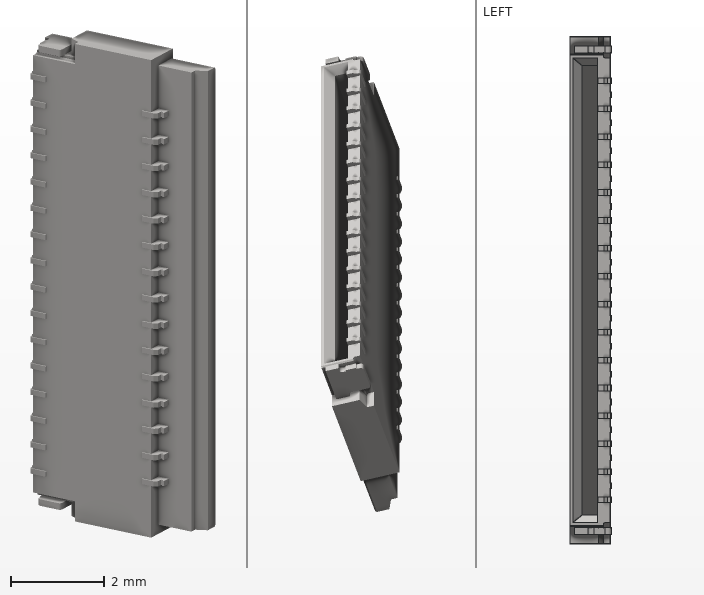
import cadquery as cq

body_length = 3.0
body_depth = 0.87
body_half_height = 5.45
shroud_half_height = 5.08
shroud_length = 0.82
shroud_corner_chamfer = 0.03

relief_length = 1.06
relief_half_height = 4.99
relief_ramp_half_height = 5.02
relief_ramp_depth = 0.115
relief_depth = 0.15
wing_slope_depth = 0.25

slot_half_height = 4.99
slot_front = 0.27
slot_back = 0.805
slot_depth = 2.0
bevel_back = 0.195
bevel_end = 0.16
bevel_depth = 0.17

actuator_end = 4.09
actuator_step = 3.84
actuator_half_height = 5.24
actuator_front = 0.29
actuator_back = body_depth
actuator_end_chamfer = 0.045
nose_inner_front = 0.44
nose_tip_front = 0.55

contact_pitch = 0.6
contact_width = 0.12
contact_embed = 0.1
solder_drop = 0.03
front_contact_count = 16
rear_contact_count = 15
front_foot_end = 0.34
front_contact_reach = 0.11
front_contact_top = 0.265
front_contact_knee = 0.13
front_contact_ankle = 0.06
front_contact_shin = 0.07
rear_foot_start = 2.78
rear_foot_end = 3.08
rear_shin = 3.16
rear_lip = 3.21
rear_lip_tip = 0.11
rear_contact_reach = 3.26
rear_step = 0.15

plate_bottom_z = 5.10
plate_top_z = 5.25
plate_back = 0.77
plate_hook = 0.48
plate_bite = 0.13
plate_neck = 0.10
plate_bite_front = 0.35
plate_foot_shoulder = 0.115
plate_leg_end = 0.72
plate_leg_top = 0.42
plate_leg_bevel = 0.04
plate_heel_radius = 0.07
plate_toe_radius = 0.06
plate_bite_radius = 0.05


def prism(points, z_low, z_high):
    """Extrude an XY outline between two Z heights."""
    return cq.Workplane("XY").workplane(offset=z_low).polyline(points).close().extrude(z_high - z_low)


def block(x_range, y_range, z_range):
    """Box given by its limits along each axis."""
    size = [high - low for low, high in (x_range, y_range, z_range)]
    return cq.Workplane("XY").box(*size, centered=False).translate((x_range[0], y_range[0], z_range[0]))


def both_ends(shape):
    """The shape together with its mirror image about Z = 0."""
    return shape.union(shape.mirror("XY"))


def make_housing():
    wings = prism(
        [
            (shroud_length, body_depth),
            (shroud_length, wing_slope_depth),
            (relief_length, relief_depth),
            (relief_length, 0),
            (body_length, 0),
            (body_length, body_depth),
        ],
        -body_half_height,
        body_half_height,
    )
    shroud = (
        cq.Workplane("YZ")
        .polyline(
            [
                (body_depth, -shroud_half_height),
                (relief_depth, -shroud_half_height),
                (relief_depth, -relief_ramp_half_height),
                (relief_ramp_depth, -relief_half_height),
                (0, -relief_half_height),
                (0, relief_half_height),
                (relief_ramp_depth, relief_half_height),
                (relief_depth, relief_ramp_half_height),
                (relief_depth, shroud_half_height),
                (body_depth, shroud_half_height),
            ]
        )
        .close()
        .extrude(relief_length)
    )
    shroud = shroud.faces(">Z or <Z").edges("<X").chamfer(shroud_corner_chamfer)
    return wings.union(shroud)


def make_slot():
    throat_half_height = slot_half_height - bevel_end
    throat_back = slot_back - bevel_back
    throat = block(
        (0, slot_depth), (slot_front, throat_back), (-throat_half_height, throat_half_height)
    )
    mouth_width = slot_back - slot_front
    throat_width = throat_back - slot_front
    lead_in = (
        cq.Workplane("YZ")
        .center(slot_front + mouth_width / 2, 0)
        .rect(mouth_width, 2 * slot_half_height)
        .workplane(offset=bevel_depth)
        .center((throat_width - mouth_width) / 2, 0)
        .rect(throat_width, 2 * throat_half_height)
        .loft(ruled=True)
    )
    return throat.union(lead_in)


def make_actuator():
    bar = prism(
        [
            (body_length, actuator_back),
            (body_length, actuator_front),
            (actuator_step, actuator_front),
            (actuator_step, nose_inner_front),
            (actuator_end, nose_tip_front),
            (actuator_end, actuator_back),
        ],
        -actuator_half_height,
        actuator_half_height,
    )
    return bar.faces(">Z or <Z").edges(">Y").chamfer(actuator_end_chamfer)


def make_front_contact():
    return prism(
        [
            (contact_embed, front_contact_top),
            (-front_contact_reach, front_contact_top),
            (-front_contact_reach, front_contact_knee),
            (-front_contact_shin, front_contact_ankle),
            (-front_contact_shin, 0),
            (-front_contact_shin + solder_drop, -solder_drop),
            (front_foot_end, -solder_drop),
            (front_foot_end, contact_embed),
            (contact_embed, contact_embed),
        ],
        -contact_width / 2,
        contact_width / 2,
    )


def make_rear_contact():
    return prism(
        [
            (rear_foot_start, contact_embed),
            (rear_foot_start, -solder_drop),
            (rear_foot_end, -solder_drop),
            (rear_shin, solder_drop),
            (rear_shin, rear_step),
            (rear_lip, rear_step),
            (rear_lip, rear_lip_tip),
            (rear_contact_reach, rear_lip_tip),
            (rear_contact_reach, actuator_front),
            (body_length - contact_embed, actuator_front),
            (body_length - contact_embed, contact_embed),
        ],
        -contact_width / 2,
        contact_width / 2,
    )


def contact_row(contact, count):
    """Copies of one contact spaced at the pitch and centred on Z = 0."""
    first_z = -contact_pitch * (count - 1) / 2
    return [contact.translate((0, 0, first_z + contact_pitch * index)) for index in range(count)]


def make_hold_down():
    root = shroud_length + contact_embed
    return (
        cq.Workplane("XY")
        .workplane(offset=plate_bottom_z)
        .moveTo(root, plate_back)
        .lineTo(0, plate_back)
        .lineTo(0, plate_hook)
        .lineTo(plate_bite - plate_bite_radius, plate_hook)
        .radiusArc((plate_bite, plate_hook - plate_bite_radius), plate_bite_radius)
        .lineTo(plate_bite, plate_bite_front)
        .lineTo(plate_neck, plate_bite_front)
        .lineTo(plate_neck, plate_foot_shoulder)
        .lineTo(plate_bite, plate_foot_shoulder)
        .lineTo(plate_bite, plate_heel_radius - solder_drop)
        .radiusArc((plate_bite + plate_heel_radius, -solder_drop), -plate_heel_radius)
        .lineTo(plate_leg_end - plate_toe_radius, -solder_drop)
        .radiusArc((plate_leg_end, plate_toe_radius - solder_drop), -plate_toe_radius)
        .lineTo(plate_leg_end, plate_leg_top)
        .lineTo(plate_leg_end + plate_leg_bevel, plate_leg_top + plate_leg_bevel)
        .lineTo(root, plate_leg_top + plate_leg_bevel)
        .close()
        .extrude(plate_top_z - plate_bottom_z)
    )


result = make_housing().cut(make_slot()).union(make_actuator()).union(both_ends(make_hold_down()))
for front_contact in contact_row(make_front_contact(), front_contact_count):
    result = result.union(front_contact)
for rear_contact in contact_row(make_rear_contact(), rear_contact_count):
    result = result.union(rear_contact)